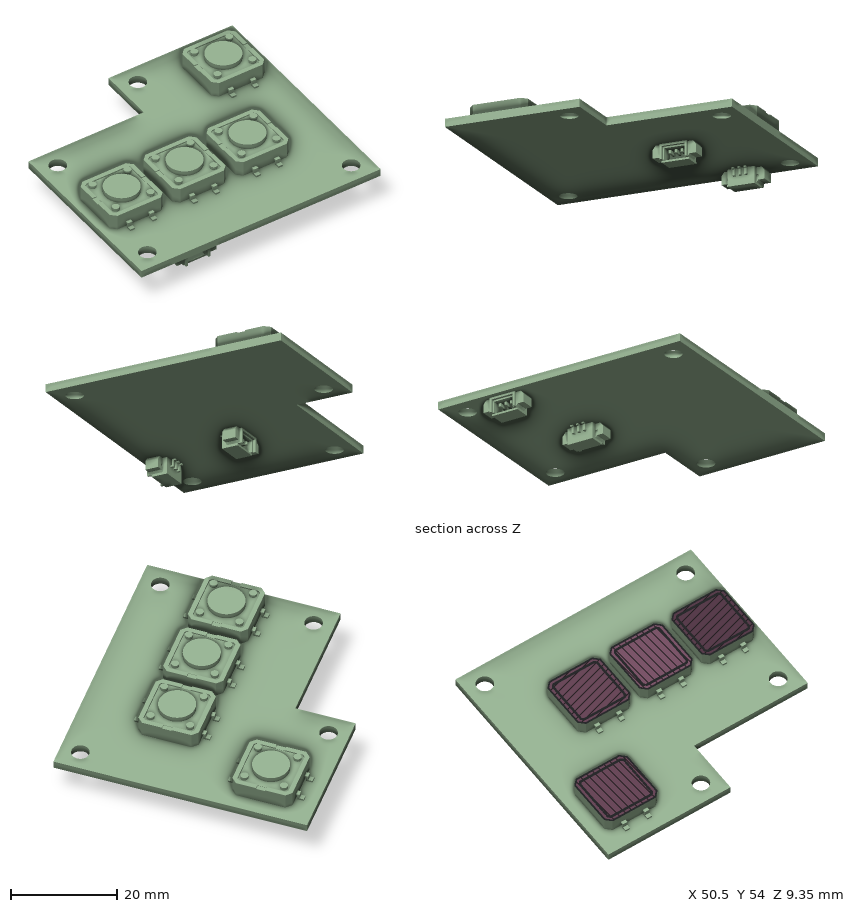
import cadquery as cq

BOARD_WIDTH = 50.5
BOARD_LENGTH = 54.0
BOARD_THICKNESS = 1.6
CUTOUT_WIDTH = 12.0
CUTOUT_LENGTH = 26.05
MOUNT_HOLE_DIAMETER = 3.5
MOUNT_HOLE_INSET = 4.0

SWITCH_COLUMN_X = 32.0
SWITCH_COLUMN_FIRST_Y = 7.8
SWITCH_COLUMN_PITCH = 14.2
SWITCH_COLUMN_COUNT = 3
CORNER_SWITCH_X = 10.2
CORNER_SWITCH_Y = 45.2

CASE_SIZE = 12.0
CASE_CHAMFER = 1.1
CASE_HEIGHT = 3.3
CASE_STANDOFF = 0.2
CASE_TOP = BOARD_THICKNESS + CASE_STANDOFF + CASE_HEIGHT
RECESS_SIZE = 10.15
RECESS_CHAMFER = 0.45
RECESS_DEPTH = 0.45
COVER_GAP = 0.05
COVER_DROP = 0.2
RIM_NOTCH_WIDTH = 1.85
RIM_NOTCH_DEPTH = 0.2
PEG_DIAMETER = 1.5
PEG_PITCH = 7.9
PEG_RISE = 0.45
BUTTON_DIAMETER = 7.2
BUTTON_RISE = 0.85

SWITCH_LEAD_PITCH = 5.0
SWITCH_LEAD_WIDTH = 1.0
SWITCH_LEAD_HEIGHT = 1.3
SWITCH_LEAD_THICKNESS = 0.4
SWITCH_LEAD_REACH = 0.7
SWITCH_LEAD_FOOT = 0.85

LEFT_CONNECTOR_BACK_X = 30.4
LEFT_CONNECTOR_Y = 18.8
RIGHT_CONNECTOR_BACK_X = 45.15
RIGHT_CONNECTOR_Y = 13.55

HOUSING_DEPTH = 4.25
HOUSING_WIDTH = 5.6
HOUSING_HEIGHT = 3.0
FLOOR_PLATE_DEPTH = 3.35
FLOOR_PLATE_OVERHANG = 0.05
FLOOR_PLATE_HEIGHT = 0.4
HOUSING_TOTAL_HEIGHT = HOUSING_HEIGHT + FLOOR_PLATE_HEIGHT
SOCKET_WIDTH = 4.2
SOCKET_TOP = 0.75
SOCKET_DEPTH = 3.25
MOUTH_WIDTH = 4.75
MOUTH_TOP = 0.45
MOUTH_DEPTH = 0.55

EAR_FRONT_GAP = 0.55
EAR_DEPTH = 2.75
EAR_REACH = 1.7
EAR_HEIGHT = 2.5
EAR_TOP_CHAMFER = 0.6
EAR_TOP_CHAMFER_HEIGHT = 0.75
EAR_GUSSET_REACH = 0.4
EAR_GUSSET_HEIGHT = 0.45
EAR_NOTCH_SIZE = 0.5
EAR_NOTCH_TOP = 1.35
EAR_NOTCH_DEPTH = 0.2

PIN_COUNT = 3
PIN_PITCH = 1.25
PIN_WIDTH = 0.5
PIN_TOP = 1.0
PIN_HEIGHT = 0.7
PIN_LENGTH = 2.15
PIN_TIP_CHAMFER = 0.1
TAIL_HEIGHT = 1.55
TAIL_THICKNESS = 0.3
TAIL_REACH = 0.65
TAIL_FOOT = 0.45


def make_board():
    outline = [
        (CUTOUT_WIDTH, 0),
        (BOARD_WIDTH, 0),
        (BOARD_WIDTH, BOARD_LENGTH),
        (0, BOARD_LENGTH),
        (0, CUTOUT_LENGTH),
        (CUTOUT_WIDTH, CUTOUT_LENGTH),
    ]
    hole_centers = [
        (CUTOUT_WIDTH + MOUNT_HOLE_INSET, MOUNT_HOLE_INSET),
        (BOARD_WIDTH - MOUNT_HOLE_INSET, MOUNT_HOLE_INSET),
        (BOARD_WIDTH - MOUNT_HOLE_INSET, BOARD_LENGTH - MOUNT_HOLE_INSET),
        (MOUNT_HOLE_INSET, CUTOUT_LENGTH + MOUNT_HOLE_INSET),
    ]
    plate = cq.Workplane("XY").polyline(outline).close().extrude(BOARD_THICKNESS)
    return plate.faces(">Z").workplane(origin=(0, 0, 0)).pushPoints(hole_centers).hole(MOUNT_HOLE_DIAMETER)


def gull_wing_lead(height, thickness, reach, foot, width):
    """Bent strip leaving a wall at x = 0, centred on y = 0, with its foot resting on z = 0."""
    outline = [
        (0, height),
        (reach, height),
        (reach, thickness),
        (reach + foot, thickness),
        (reach + foot, 0),
        (reach - thickness, 0),
        (reach - thickness, height - thickness),
        (0, height - thickness),
    ]
    return cq.Workplane("XZ").polyline(outline).close().extrude(width / 2, both=True)


def chamfered_square(plane, size, height, chamfer):
    """Square block standing on the plane, its four upright corners chamfered."""
    return plane.rect(size, size).extrude(height).edges("|Z").chamfer(chamfer)


def make_switch(x, y):
    """Switch standing on the top of the board, centred on (x, y)."""
    case_plane = cq.Workplane("XY", origin=(0, 0, BOARD_THICKNESS + CASE_STANDOFF))
    case = chamfered_square(case_plane, CASE_SIZE, CASE_HEIGHT, CASE_CHAMFER)
    recess_plane = cq.Workplane("XY", origin=(0, 0, CASE_TOP - RECESS_DEPTH))
    recess = chamfered_square(recess_plane, RECESS_SIZE, RECESS_DEPTH, RECESS_CHAMFER)
    rim_notches = (
        cq.Workplane("XY", origin=(0, 0, CASE_TOP - RIM_NOTCH_DEPTH))
        .rect(RIM_NOTCH_WIDTH, CASE_SIZE)
        .extrude(RIM_NOTCH_DEPTH)
    )
    cover_size = RECESS_SIZE - 2 * COVER_GAP
    cover = chamfered_square(recess_plane, cover_size, RECESS_DEPTH - COVER_DROP, RECESS_CHAMFER)
    pegs = (
        recess_plane.rect(PEG_PITCH, PEG_PITCH, forConstruction=True)
        .vertices()
        .circle(PEG_DIAMETER / 2)
        .extrude(RECESS_DEPTH + PEG_RISE)
    )
    button = recess_plane.circle(BUTTON_DIAMETER / 2).extrude(RECESS_DEPTH + BUTTON_RISE)
    switch = case.cut(recess).cut(rim_notches).union(cover).union(pegs).union(button)

    lead = gull_wing_lead(
        SWITCH_LEAD_HEIGHT, SWITCH_LEAD_THICKNESS, SWITCH_LEAD_REACH, SWITCH_LEAD_FOOT, SWITCH_LEAD_WIDTH
    )
    for lead_y in (-SWITCH_LEAD_PITCH / 2, SWITCH_LEAD_PITCH / 2):
        right_lead = lead.translate((CASE_SIZE / 2, lead_y, BOARD_THICKNESS))
        switch = switch.union(right_lead).union(right_lead.mirror("YZ"))
    return switch.translate((x, y, 0))


def block(x_start, depth, width, z_start, height):
    """Box from x_start and z_start upwards, centred on y = 0."""
    box = cq.Workplane("XY").box(depth, width, height, centered=(False, True, False))
    return box.translate((x_start, 0, z_start))


def connector_ear():
    """Solder ear on the +Y side of the housing."""
    wall_y = HOUSING_WIDTH / 2
    tip_y = wall_y + EAR_REACH
    outline = [
        (wall_y, 0),
        (tip_y - EAR_TOP_CHAMFER, 0),
        (tip_y, -EAR_TOP_CHAMFER_HEIGHT),
        (tip_y, -EAR_HEIGHT),
        (wall_y + EAR_GUSSET_REACH, -EAR_HEIGHT),
        (wall_y, -EAR_HEIGHT - EAR_GUSSET_HEIGHT),
    ]
    ear = cq.Workplane("YZ").polyline(outline).close().extrude(EAR_DEPTH)
    notch = (
        cq.Workplane("XY")
        .box(EAR_NOTCH_DEPTH, EAR_NOTCH_SIZE, EAR_NOTCH_SIZE, centered=False)
        .translate((EAR_DEPTH - EAR_NOTCH_DEPTH, wall_y, -EAR_NOTCH_TOP - EAR_NOTCH_SIZE))
    )
    return ear.cut(notch).translate((EAR_FRONT_GAP - HOUSING_DEPTH, 0, 0))


def make_connector():
    """Connector hanging from z = 0, its socket opening towards -X and its back wall at x = 0."""
    housing = block(-HOUSING_DEPTH, HOUSING_DEPTH, HOUSING_WIDTH, -HOUSING_HEIGHT, HOUSING_HEIGHT)
    floor_plate = block(
        FLOOR_PLATE_OVERHANG - FLOOR_PLATE_DEPTH,
        FLOOR_PLATE_DEPTH,
        HOUSING_WIDTH,
        -HOUSING_TOTAL_HEIGHT,
        FLOOR_PLATE_HEIGHT,
    )
    socket = block(-HOUSING_DEPTH, SOCKET_DEPTH, SOCKET_WIDTH, -HOUSING_HEIGHT, HOUSING_HEIGHT - SOCKET_TOP)
    mouth = block(-HOUSING_DEPTH, MOUTH_DEPTH, MOUTH_WIDTH, -HOUSING_HEIGHT, HOUSING_HEIGHT - MOUTH_TOP)
    connector = housing.union(floor_plate).cut(socket).cut(mouth)

    ear = connector_ear()
    connector = connector.union(ear).union(ear.mirror("XZ"))

    pin_tip_x = SOCKET_DEPTH - HOUSING_DEPTH - PIN_LENGTH
    pin = block(pin_tip_x, PIN_LENGTH, PIN_WIDTH, -PIN_TOP - PIN_HEIGHT, PIN_HEIGHT)
    pin = pin.faces("<X").chamfer(PIN_TIP_CHAMFER)
    tail = gull_wing_lead(TAIL_HEIGHT, TAIL_THICKNESS, TAIL_REACH, TAIL_FOOT, PIN_WIDTH).mirror("XY")
    for index in range(PIN_COUNT):
        pin_y = (index - (PIN_COUNT - 1) / 2) * PIN_PITCH
        connector = connector.union(pin.translate((0, pin_y, 0))).union(tail.translate((0, pin_y, 0)))
    return connector


board = make_board()

switch_places = [(CORNER_SWITCH_X, CORNER_SWITCH_Y)]
for row in range(SWITCH_COLUMN_COUNT):
    switch_places.append((SWITCH_COLUMN_X, SWITCH_COLUMN_FIRST_Y + row * SWITCH_COLUMN_PITCH))
switches = [make_switch(x, y) for x, y in switch_places]

connectors = []
for back_x, center_y, turn in (
    (LEFT_CONNECTOR_BACK_X, LEFT_CONNECTOR_Y, 0),
    (RIGHT_CONNECTOR_BACK_X, RIGHT_CONNECTOR_Y, 180),
):
    turned = make_connector().rotate((0, 0, 0), (0, 0, 1), turn)
    connectors.append(turned.translate((back_x, center_y, 0)))

result = cq.Compound.makeCompound([body.val() for body in [board, *switches, *connectors]])